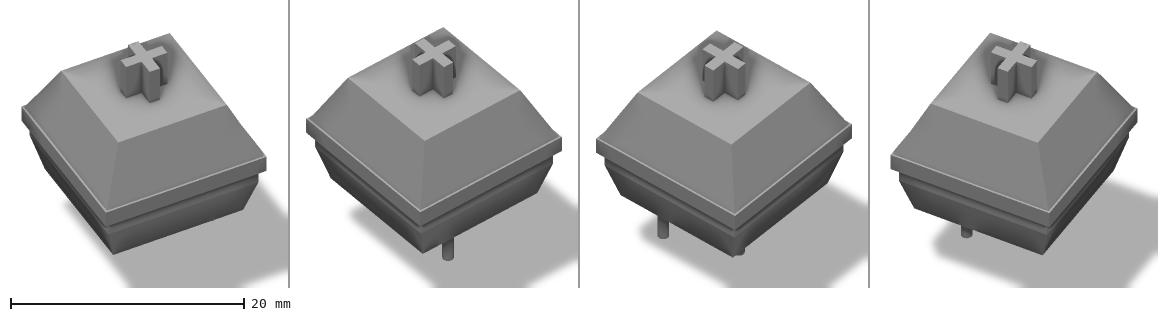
import cadquery as cq

total_height = 18.5
flange_width = 15.6

pin_length = 3.3
lower_taper_height = 3.52
collar_height = 1.5
flange_height = 1.61
upper_taper_height = 5.01

lower_end_width = 12.6
collar_width = 14.55
upper_base_width = 15.2
upper_end_width = 10.53

cross_span = 4.0
cross_arm_width = 1.0

post_diameter = 3.5
pin_diameter = 1.0
pin_positions = [(-3.81, 2.53), (2.53, 5.07)]

housing_bottom = pin_length
collar_bottom = housing_bottom + lower_taper_height
flange_bottom = collar_bottom + collar_height
flange_top = flange_bottom + flange_height
housing_top = flange_top + upper_taper_height
stem_height = total_height - housing_top


def block(length, width, height, bottom):
    """Rectangular block centred on the Z axis."""
    return cq.Workplane("XY").workplane(offset=bottom).rect(length, width).extrude(height)


def square_frustum(bottom_width, top_width, height, bottom):
    """Square section that tapers evenly on all four sides."""
    base = cq.Workplane("XY").workplane(offset=bottom).rect(bottom_width, bottom_width)
    return base.workplane(offset=height).rect(top_width, top_width).loft(ruled=True)


def make_housing():
    """Tapered lower case, collar, flange and tapered upper case."""
    lower_case = square_frustum(lower_end_width, collar_width, lower_taper_height, housing_bottom)
    collar = block(collar_width, collar_width, collar_height, collar_bottom)
    flange = block(flange_width, flange_width, flange_height, flange_bottom)
    upper_case = square_frustum(upper_base_width, upper_end_width, upper_taper_height, flange_top)
    return lower_case.union(collar).union(flange).union(upper_case)


def make_stem():
    """Two crossed blades standing on the upper case."""
    blade_x = block(cross_span, cross_arm_width, stem_height, housing_top)
    blade_y = block(cross_arm_width, cross_span, stem_height, housing_top)
    return blade_x.union(blade_y)


def make_legs():
    """Central post and two offset contact pins below the lower case."""
    post = cq.Workplane("XY").circle(post_diameter / 2).extrude(pin_length)
    pins = cq.Workplane("XY").pushPoints(pin_positions).circle(pin_diameter / 2).extrude(pin_length)
    return post.union(pins)


result = make_housing().union(make_stem()).union(make_legs())